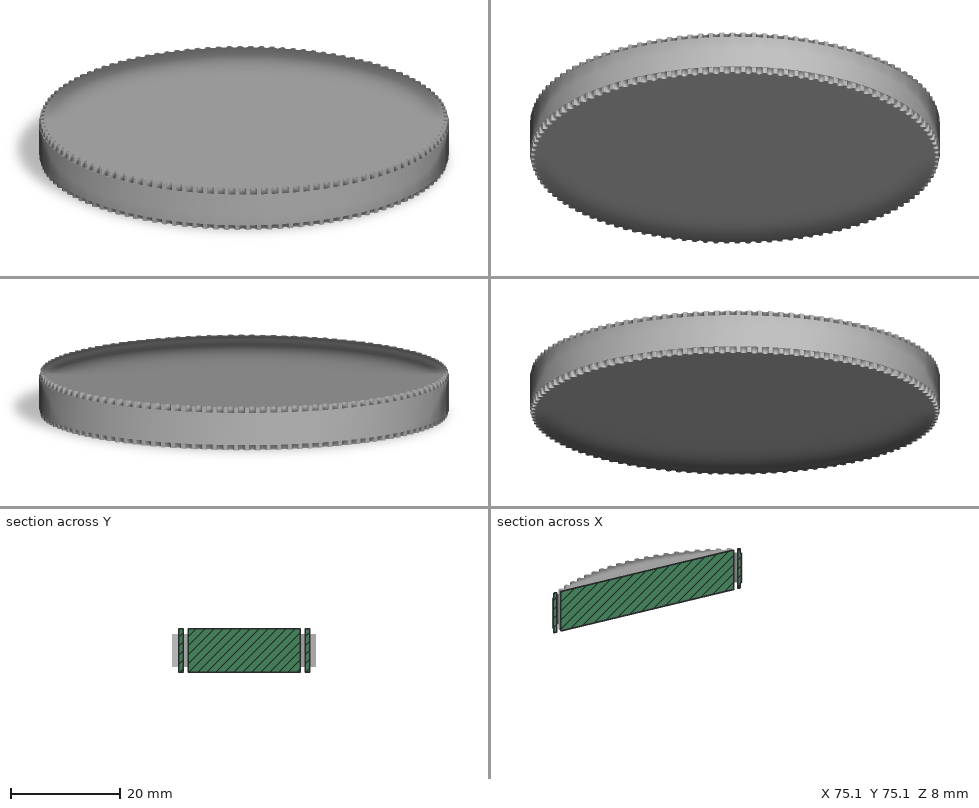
import cadquery as cq
import math

TOOTH_COUNT = 118
BELT_PITCH = 2.0
PITCH_LINE_OFFSET = 0.254

GROOVE_DEPTH = 0.765
MOUTH_HALF_WIDTH = 0.747
CORNER_MIDDLE = (0.648, 0.037)
CORNER_END = (0.598, 0.131)
FLANK_MIDDLE = (0.547, 0.343)
FLANK_END = (0.452, 0.540)

PULLEY_HEIGHT = 8.0
BAND_HEIGHT = 6.0
BAND_THICKNESS = 0.1
AXIS = cq.Vector(0, 0, 1)

pitch_radius = TOOTH_COUNT * BELT_PITCH / (2 * math.pi)
tip_radius = pitch_radius - PITCH_LINE_OFFSET
band_inner_radius = pitch_radius - BAND_THICKNESS
band_base = (PULLEY_HEIGHT - BAND_HEIGHT) / 2
tooth_angle = 2 * math.pi / TOOTH_COUNT
groove_angles = [index * tooth_angle for index in range(TOOTH_COUNT)]


def line_edge(start, end):
    """Straight edge between two X, Y points."""
    return cq.Edge.makeLine(cq.Vector(*start), cq.Vector(*end))


def arc_edge(start, middle, end):
    """Circular edge through three X, Y points."""
    return cq.Edge.makeThreePointArc(cq.Vector(*start), cq.Vector(*middle), cq.Vector(*end))


def groove_point(sideways, radial, angle):
    """X, Y of a point given across and along the centre line of a groove."""
    x = radial * math.cos(angle) - sideways * math.sin(angle)
    y = radial * math.sin(angle) + sideways * math.cos(angle)
    return (x, y)


def profile_point(half_width_and_depth, side, angle):
    """X, Y of a groove profile point on the given side (-1 or 1) of the groove."""
    half_width, depth = half_width_and_depth
    return groove_point(side * half_width, tip_radius - depth, angle)


def mouth_point(radius, side, angle):
    """X, Y where a groove's mouth width meets the circle of the given radius."""
    radial = math.sqrt(radius**2 - MOUTH_HALF_WIDTH**2)
    return groove_point(side * MOUTH_HALF_WIDTH, radial, angle)


def groove_edges(angle):
    """Edges of one groove, running from one tooth tip to the next."""
    start = mouth_point(tip_radius, -1, angle)
    arcs = [
        (profile_point(CORNER_MIDDLE, -1, angle), profile_point(CORNER_END, -1, angle)),
        (profile_point(FLANK_MIDDLE, -1, angle), profile_point(FLANK_END, -1, angle)),
        (groove_point(0, tip_radius - GROOVE_DEPTH, angle), profile_point(FLANK_END, 1, angle)),
        (profile_point(FLANK_MIDDLE, 1, angle), profile_point(CORNER_END, 1, angle)),
        (profile_point(CORNER_MIDDLE, 1, angle), mouth_point(tip_radius, 1, angle)),
    ]
    edges = []
    for middle, end in arcs:
        edges.append(arc_edge(start, middle, end))
        start = end
    return edges


def tip_edge(angle):
    """Tooth tip that follows the groove at the given angle."""
    return arc_edge(
        mouth_point(tip_radius, 1, angle),
        groove_point(0, tip_radius, angle + tooth_angle / 2),
        mouth_point(tip_radius, -1, angle + tooth_angle),
    )


def band_recess_edges(angle):
    """Inner edges of the band where it spans one groove without entering it."""
    right_tip = mouth_point(tip_radius, -1, angle)
    left_tip = mouth_point(tip_radius, 1, angle)
    right_band = mouth_point(band_inner_radius, -1, angle)
    left_band = mouth_point(band_inner_radius, 1, angle)
    return [
        line_edge(right_tip, right_band),
        arc_edge(right_band, groove_point(0, band_inner_radius, angle), left_band),
        line_edge(left_band, left_tip),
    ]


def toothed_body():
    """Full-height disc with open grooves all around."""
    edges = []
    for angle in groove_angles:
        edges += groove_edges(angle)
        edges.append(tip_edge(angle))
    outline = cq.Wire.assembleEdges(edges)
    return cq.Solid.extrudeLinear(outline, [], AXIS * PULLEY_HEIGHT)


def pitch_band():
    """Thin band on the pitch circle, thickened inward to sit on every tooth tip."""
    inner_edges = []
    for angle in groove_angles:
        inner_edges += band_recess_edges(angle)
        inner_edges.append(tip_edge(angle))
    outer = cq.Wire.makeCircle(pitch_radius, AXIS * band_base, AXIS)
    inner = cq.Wire.assembleEdges(inner_edges).translate(AXIS * band_base)
    return cq.Solid.extrudeLinear(outer, [inner], AXIS * BAND_HEIGHT)


result = cq.Workplane("XY").add(toothed_body()).union(cq.Workplane("XY").add(pitch_band()), clean=False)